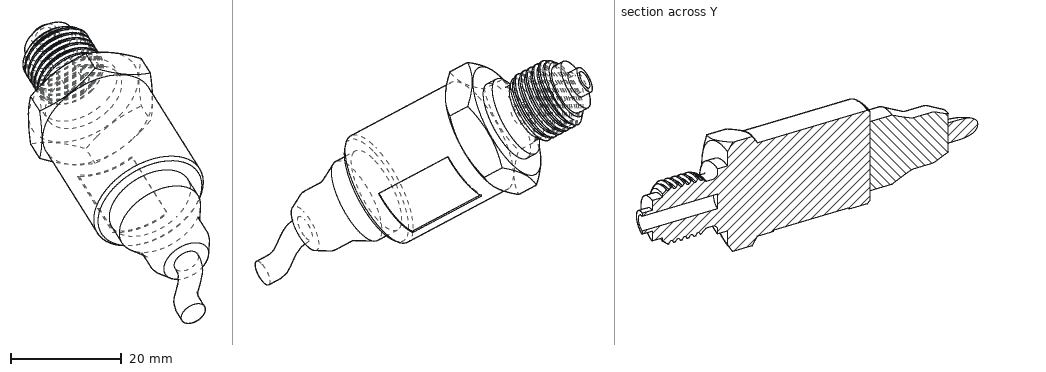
import cadquery as cq
import math


TOTAL_LENGTH = 73.2
TIP_LENGTH = 2.0
SPIGOT_END = 4.0
THREAD_END = 12.7
FLANGE_START = 15.0
HEX_START = 17.0
HEX_END = 23.0
BARREL_END = 45.45
BOOT_SHOULDER_END = 49.75
BOOT_SLEEVE_START = 53.8
BOOT_SLEEVE_END = 58.1
BOOT_END = 61.0

TIP_DIAMETER = 5.0
BORE_DIAMETER = 3.3
BORE_DEPTH = FLANGE_START
SPIGOT_DIAMETER = 9.5
NECK_DIAMETER = 11.0
NECK_FILLET = 1.0
FLANGE_DIAMETER = 15.2

THREAD_DIAMETER = 13.2
THREAD_ROOT_DIAMETER = 12.0
THREAD_PITCH = 1.34
THREAD_ANGLE = 55.0
THREAD_FLAT = 0.4
THREAD_TURNS = 7
RIDGE_START = 3.8
RIDGE_SINK = 0.1

HEX_SIDES = 6
HEX_ACROSS_FLATS = 22.0
HEX_FACE_DIAMETER = 21.8
HEX_BEVEL_ANGLE = 30.0
BARREL_DIAMETER = 21.8
BARREL_CHAMFER = 0.6
PANEL_START = 26.2
PANEL_END = 41.3
PANEL_FLOOR_DIAMETER = 21.2
PANEL_ANGLE = 60.0

BOOT_SHOULDER_DIAMETER = 16.2
BOOT_SLEEVE_DIAMETER = 12.0
BOOT_END_DIAMETER = 8.9
BOOT_BLEND_RADIUS = 1.0

CABLE_DIAMETER = 4.8
CABLE_NEAR_LENGTH = 2.55
CABLE_FAR_LENGTH = 4.0
CABLE_BEND_SHIFT = 0.4
CABLE_OFFSET = 4.25


def rod(diameter, start, end):
    """Solid cylinder on the X axis."""
    return cq.Workplane("YZ", origin=(start, 0, 0)).circle(diameter / 2).extrude(end - start)


def turned(profile):
    """Solid of revolution about X from (x, radius) points of a closed profile."""
    return cq.Workplane("XY").polyline(profile).close().revolve(360, (0, 0, 0), (1, 0, 0))


def thread_ridge():
    """Helical trapezoidal ridge of a right-hand thread about X."""
    base_radius = THREAD_ROOT_DIAMETER / 2 - RIDGE_SINK
    crest_radius = THREAD_DIAMETER / 2
    crest_half = THREAD_FLAT / 2
    flank_angle = math.radians(THREAD_ANGLE / 2)
    base_half = crest_half + (crest_radius - base_radius) * math.tan(flank_angle)
    path = cq.Wire.makeHelix(THREAD_PITCH, THREAD_TURNS * THREAD_PITCH, crest_radius)
    ridge = (
        cq.Workplane("XZ")
        .polyline([
            (base_radius, -base_half),
            (crest_radius, -crest_half),
            (crest_radius, crest_half),
            (base_radius, base_half),
        ])
        .close()
        .sweep(cq.Workplane(obj=path), isFrenet=True)
    )
    return ridge.rotate((0, 0, 0), (0, 1, 0), 90).translate((RIDGE_START, 0, 0))


def threaded_section():
    """Threaded length, bevelled at 45 degrees down to the neck diameter at both ends."""
    end_radius = NECK_DIAMETER / 2
    half_length = (THREAD_END - SPIGOT_END) / 2
    core_bevel = (THREAD_ROOT_DIAMETER - NECK_DIAMETER) / 2
    core = rod(THREAD_ROOT_DIAMETER, SPIGOT_END, THREAD_END).edges().chamfer(core_bevel)
    bevel_envelope = turned([
        (SPIGOT_END, 0),
        (SPIGOT_END, end_radius),
        (SPIGOT_END + half_length, end_radius + half_length),
        (THREAD_END, end_radius),
        (THREAD_END, 0),
    ])
    return core.union(thread_ridge()).intersect(bevel_envelope)


def neck():
    """Relief behind the thread, running into the flange through a concave fillet."""
    radius = NECK_DIAMETER / 2
    arc_start = FLANGE_START - NECK_FILLET
    diagonal = NECK_FILLET * math.sqrt(0.5)
    return (
        cq.Workplane("XY")
        .moveTo(THREAD_END, 0)
        .lineTo(THREAD_END, radius)
        .lineTo(arc_start, radius)
        .threePointArc(
            (arc_start + diagonal, radius + NECK_FILLET - diagonal),
            (FLANGE_START, radius + NECK_FILLET),
        )
        .lineTo(FLANGE_START, 0)
        .close()
        .revolve(360, (0, 0, 0), (1, 0, 0))
    )


def hexagon():
    """Wrench hexagon with corners on +Z and -Z, bevelled on both faces."""
    corner_diameter = HEX_ACROSS_FLATS / math.cos(math.pi / HEX_SIDES)
    prism = (
        cq.Workplane("YZ", origin=(HEX_START, 0, 0))
        .transformed(rotate=(0, 0, 90))
        .polygon(HEX_SIDES, corner_diameter)
        .extrude(HEX_END - HEX_START)
    )
    face_radius = HEX_FACE_DIAMETER / 2
    corner_radius = corner_diameter / 2
    bevel_length = (corner_radius - face_radius) * math.tan(math.radians(HEX_BEVEL_ANGLE))
    envelope = turned([
        (HEX_START, 0),
        (HEX_START, face_radius),
        (HEX_START + bevel_length, corner_radius),
        (HEX_END - bevel_length, corner_radius),
        (HEX_END, face_radius),
        (HEX_END, 0),
    ])
    return prism.intersect(envelope)


def panel_recess():
    """Shallow curved recess in the underside of the barrel."""
    half_angle = math.radians(PANEL_ANGLE / 2)
    depth = BARREL_DIAMETER
    half_width = depth * math.tan(half_angle)
    sector = (
        cq.Workplane("YZ", origin=(PANEL_START, 0, 0))
        .polyline([(0, 0), (half_width, -depth), (-half_width, -depth)])
        .close()
        .extrude(PANEL_END - PANEL_START)
    )
    return sector.cut(rod(PANEL_FLOOR_DIAMETER, PANEL_START, PANEL_END))


def make_housing():
    barrel = rod(BARREL_DIAMETER, HEX_END, BARREL_END).faces(">X").chamfer(BARREL_CHAMFER)
    return (
        rod(TIP_DIAMETER, 0, TIP_LENGTH)
        .union(rod(SPIGOT_DIAMETER, TIP_LENGTH, SPIGOT_END))
        .union(threaded_section())
        .union(neck())
        .union(rod(FLANGE_DIAMETER, FLANGE_START, HEX_START))
        .union(hexagon())
        .union(barrel.cut(panel_recess()))
        .cut(rod(BORE_DIAMETER, 0, BORE_DEPTH))
    )


def make_boot():
    """Stepped boot whose sleeve blends smoothly into the cones on either side."""
    shoulder_radius = BOOT_SHOULDER_DIAMETER / 2
    sleeve_radius = BOOT_SLEEVE_DIAMETER / 2
    boot = turned([
        (BARREL_END, 0),
        (BARREL_END, shoulder_radius),
        (BOOT_SHOULDER_END, shoulder_radius),
        (BOOT_SLEEVE_START, sleeve_radius),
        (BOOT_SLEEVE_END, sleeve_radius),
        (BOOT_END, BOOT_END_DIAMETER / 2),
        (BOOT_END, 0),
    ])
    sleeve_rims = boot.edges("%CIRCLE").filter(
        lambda rim: math.isclose(rim.radius(), sleeve_radius)
    )
    return sleeve_rims.fillet(BOOT_BLEND_RADIUS)


def make_cable():
    """S-bent cable that is straight at both ends; every cross-section across X is the same circle."""
    path = cq.Workplane("XY").spline(
        [
            (BOOT_END, 0),
            (BOOT_END + CABLE_NEAR_LENGTH, -CABLE_BEND_SHIFT),
            (TOTAL_LENGTH - CABLE_FAR_LENGTH, CABLE_BEND_SHIFT - CABLE_OFFSET),
            (TOTAL_LENGTH, -CABLE_OFFSET),
        ],
        tangents=[(1, 0), (1, 0)],
    )
    section = cq.Workplane("YZ", origin=(BOOT_END, 0, 0)).circle(CABLE_DIAMETER / 2)
    return section.sweep(path, normal=(1, 0, 0))


housing = make_housing()
boot = make_boot()
cable = make_cable()

result = cq.Compound.makeCompound([housing.val(), boot.val(), cable.val()])